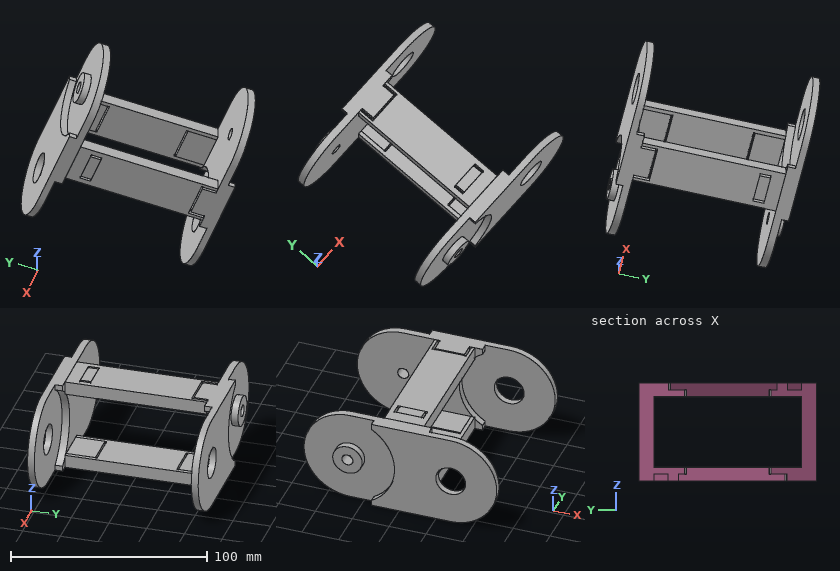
import cadquery as cq


link_height = 50.0
link_length = 106.0
link_width = 90.6
end_radius = link_height / 2
pivot_x = link_length / 2 - end_radius
outer_layer = 3.7
inner_layer = 4.0
layer_step_x = 15.0
swing_radius = 25.5
boss_diameter = 16.0
pin_hole_diameter = 5.9

bar_width = 21.7
bar_thickness = 7.1
bar_length = link_width - 2 * (outer_layer + inner_layer)
bar_end_y = bar_length / 2
bar_top_z = link_height / 2
bar_bottom_z = bar_top_z - bar_thickness
bar_middle_z = bar_top_z - bar_thickness / 2

end_gap = 0.8
tongue_width = 17.6
tongue_length = 15.6
key_width = 16.0
key_length = 7.5
keyway_width = 18.4
hook_width = 13.6
window_width = key_width
window_length = 5.7
window_offset = 7.0


def block(width, y_start, y_end, z_start, z_end):
    """Box centred on X, between the given Y and Z limits."""
    base = cq.Workplane("XY", origin=(0, 0, z_start))
    outline = base.center(0, (y_start + y_end) / 2).rect(width, y_end - y_start)
    return outline.extrude(z_end - z_start)


def cylinder_y(x, diameter, y_start, y_end):
    """Cylinder along Y at mid-height."""
    disc = cq.Workplane("XZ", origin=(x, y_start, 0)).circle(diameter / 2)
    return disc.extrude(y_start - y_end)


def half_turn(body):
    """Copy of a body turned upside down and moved to the opposite side of the link."""
    return body.rotate((0, 0, 0), (1, 0, 0), 180)


def plate_layer(round_side, y_start, y_end):
    """One layer of a side plate: round at one end (-1 for -X, 1 for +X) and hollowed at the other."""
    tangent_x = round_side * pivot_x
    shoulder_x = -round_side * layer_step_x
    layer = (
        cq.Workplane("XZ", origin=(0, y_start, 0))
        .moveTo(shoulder_x, end_radius)
        .lineTo(tangent_x, end_radius)
        .threePointArc((round_side * link_length / 2, 0), (tangent_x, -end_radius))
        .lineTo(shoulder_x, -end_radius)
        .close()
        .extrude(y_start - y_end)
    )
    return layer.cut(cylinder_y(-tangent_x, 2 * swing_radius, y_start, y_end))


def make_plate():
    """Side plate at the +Y end, with the key joint at the top and the hook joint at the bottom."""
    inner_y = bar_end_y
    step_y = inner_y + inner_layer
    outer_y = step_y + outer_layer

    plate = plate_layer(-1, inner_y, step_y).union(plate_layer(1, step_y, outer_y))
    plate = plate.union(cylinder_y(-pivot_x, boss_diameter, step_y, outer_y))
    plate = plate.cut(cylinder_y(-pivot_x, pin_hole_diameter, inner_y, outer_y))
    plate = plate.cut(cylinder_y(pivot_x, boss_diameter, step_y, outer_y))

    tongue_tip_y = inner_y - tongue_length
    key_tip_y = inner_y - key_length
    hook_back_y = inner_y - window_offset
    hook_tip_y = hook_back_y - window_length
    plate = plate.union(block(tongue_width, tongue_tip_y, inner_y, bar_bottom_z, bar_middle_z))
    plate = plate.union(block(key_width, key_tip_y, inner_y, bar_middle_z, bar_top_z))
    plate = plate.union(block(tongue_width, tongue_tip_y, inner_y, -bar_middle_z, -bar_bottom_z))
    return plate.union(block(hook_width, hook_tip_y, hook_back_y, -bar_top_z, -bar_middle_z))


def make_bar():
    """Upper crossbar, with the keyway at the +Y end and the hook window at the -Y end."""
    slot_length = tongue_length + end_gap
    keyway_length = key_length + end_gap
    window_start_y = -bar_end_y + window_offset
    window_end_y = window_start_y + window_length

    bar = block(bar_width, -bar_end_y, bar_end_y, bar_bottom_z, bar_top_z)
    bar = bar.cut(block(tongue_width, bar_end_y - slot_length, bar_end_y, bar_bottom_z, bar_middle_z))
    bar = bar.cut(block(tongue_width, -bar_end_y, -bar_end_y + slot_length, bar_bottom_z, bar_middle_z))
    bar = bar.cut(block(keyway_width, bar_end_y - keyway_length, bar_end_y, bar_middle_z, bar_top_z))
    return bar.cut(block(window_width, window_start_y, window_end_y, bar_middle_z, bar_top_z))


bodies = []
for make_body in (make_plate, make_bar):
    body = make_body()
    for copy in (body, half_turn(body)):
        bodies.append(copy.val())

result = cq.Compound.makeCompound(bodies)